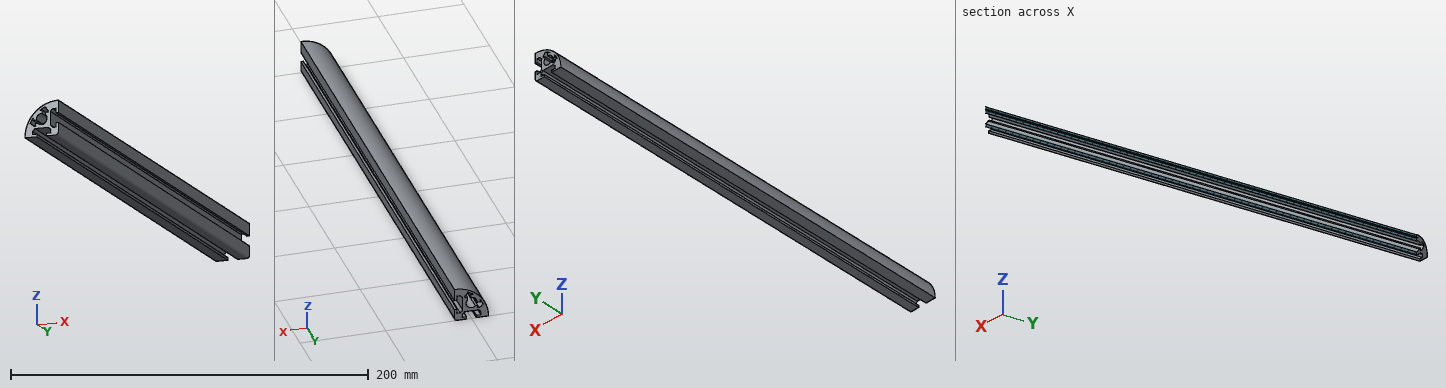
import cadquery as cq
import math

length = 300.0
side = length / 15
half = side / 2
corner_radius = 1.8

slot_opening = 5.7
slot_width = 10.8
slot_floor_width = 7.8
lip_thickness = 1.5
taper_start_depth = 3.3
slot_depth = 4.8

bore_diameter = 6.3
curved_wall = 1.35
neck_upper = -0.3
neck_lower = -2.25
shoulder_x = -5.0
pocket_top = 1.0
pocket_side_z = -1.95
pocket_tip = (-4.5, -4.0)
web_edge_x = -3.5
web_edge_z = -3.5


def swap_faces(points):
    """Mirror section points across the diagonal joining the two flat faces."""
    return [(-z, -x) for x, z in points]


def prism(points):
    return cq.Workplane("XZ").polyline(points).close().extrude(length / 2, both=True)


def point_on_arc(radius, z):
    """Point at height z on an arc about the square corner."""
    return (half - math.sqrt(radius**2 - (z + half) ** 2), z)


def make_body():
    arc_middle = half - side / math.sqrt(2)
    return (
        cq.Workplane("XZ")
        .moveTo(half, -half)
        .lineTo(half, half)
        .threePointArc((arc_middle, -arc_middle), (-half, -half))
        .close()
        .extrude(length / 2, both=True)
        .edges(cq.selectors.NearestToPointSelector((half, 0, -half)))
        .fillet(corner_radius)
    )


def slot_points():
    """Section of the bottom slot, listed from its left mouth to its right mouth."""
    steps = [
        (slot_opening, 0),
        (slot_opening, lip_thickness),
        (slot_width, lip_thickness),
        (slot_width, taper_start_depth),
        (slot_floor_width, slot_depth),
    ]
    left = [(-width / 2, depth - half) for width, depth in steps]
    right = [(-x, z) for x, z in reversed(left)]
    return left + right


def pocket_points():
    """Section of the left pocket, from the bore to the curved wall and back."""
    inner_radius = side - curved_wall
    return [
        (0, neck_upper),
        (shoulder_x, neck_upper),
        point_on_arc(inner_radius, pocket_top),
        point_on_arc(inner_radius, (pocket_top + pocket_side_z) / 2),
        point_on_arc(inner_radius, pocket_side_z),
        pocket_tip,
        (web_edge_x, web_edge_z),
        (web_edge_x, neck_lower),
        (0, neck_lower),
    ]


def make_pocket(points):
    bore_start, shoulder, wall_top, wall_middle, wall_bottom, *web = points
    outline = (
        cq.Workplane("XZ")
        .polyline([bore_start, shoulder, wall_top])
        .threePointArc(wall_middle, wall_bottom)
    )
    for point in web:
        outline = outline.lineTo(*point)
    return outline.close().extrude(length / 2, both=True)


bore = cq.Workplane("XZ").circle(bore_diameter / 2).extrude(length / 2, both=True)

result = make_body().cut(bore)
for place in (list, swap_faces):
    result = result.cut(prism(place(slot_points())))
    result = result.cut(make_pocket(place(pocket_points())))